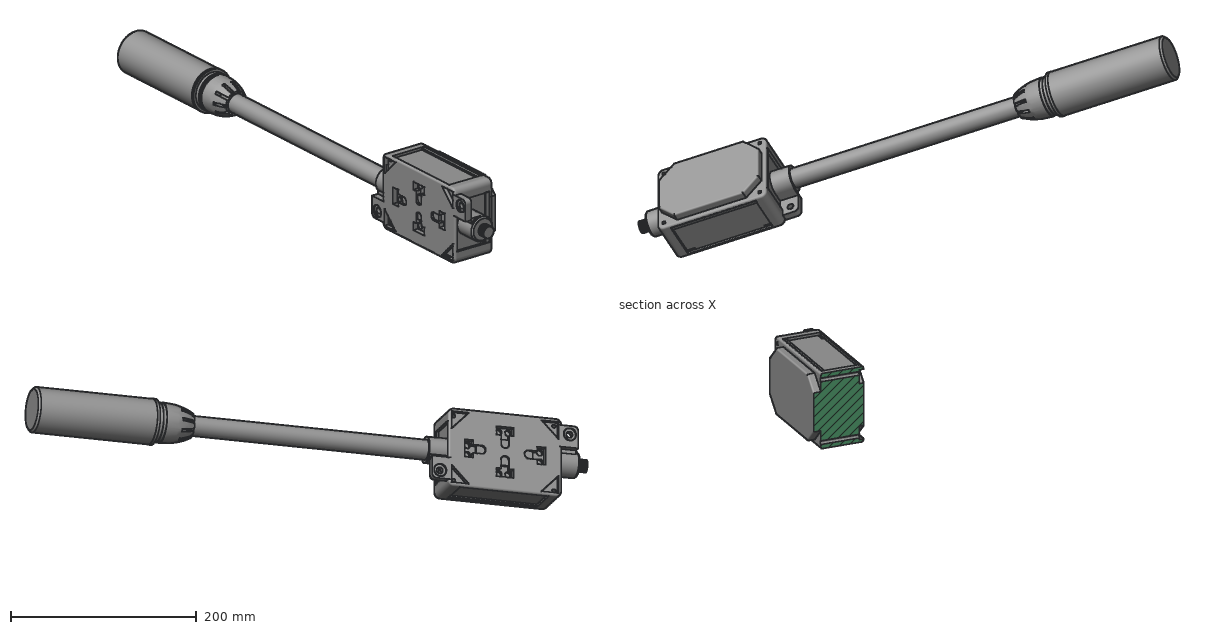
import cadquery as cq
import math

TOTAL_LENGTH = 628.0

HANDLE_DIAMETER = 49.5
HANDLE_LENGTH = 137.5
HANDLE_EDGE = 2.5
FLANGE_WIDTH = 3.0
FLANGE_RADIUS = 25.0

NOSE_RADIUS = 22.0
NOSE_STRAIGHT_END = 148.0
NOSE_END = 180.0
NOSE_END_RADIUS = 14.0
NOSE_GROOVE_START = 142.5
NOSE_GROOVE_WIDTH = 4.0
NOSE_GROOVE_DEPTH = 0.95
SLIT_COUNT = 10
SLIT_START = 165.0
SLIT_WIDTH = 3.0
SLIT_FLOOR_RADIUS = 12.0

CABLE_DIAMETER = 22.0
COLLAR_RADIUS = 14.5
COLLAR_START = 446.5

BOX_CENTER = 530.0
BOX_LENGTH = 129.0
BOX_HEIGHT = 88.0
BOX_FRONT = -20.0
BOX_BACK = 31.0
BOX_CORNER_RADIUS = 7.0
BOX_EDGE_RADIUS = 2.5

RECESS_FRONT = -17.0
RECESS_STEP = 22.5
RECESS_BACK = 27.0
RECESS_SHALLOW = 1.0
RECESS_DEEP = 3.0
LONG_RECESS_LENGTH = 100.5
SHORT_RECESS_LENGTH = 59.0

LID_LENGTH = 118.0
LID_HEIGHT = 77.0
LID_BACK = 39.5
LID_CORNER = 18.0
LID_EDGE_RADIUS = 2.0

POCKET_WALL = 4.0
POCKET_LEG = 19.5
POCKET_DEPTH = 5.0
SCREW_INSET = 7.5
SCREW_DIAMETER = 4.0

KEY_HEAD_LENGTH = 9.5
KEY_HEAD_WIDTH = 19.5
KEY_NECK_LENGTH = 4.5
KEY_SLOT_WIDTH = 9.5
KEY_LENGTH = 24.0
KEY_DEEP = 6.0
KEY_HOLE_DIAMETER = 7.0
KEY_HOLE_SPACING = 10.5
KEY_HOLE_DEPTH = 10.0
KEY_SHALLOW = 2.5
KEY_REACH_X = 46.0
KEY_REACH_Z = 28.0

EAR_REACH = 83.0
EAR_INNER_Z = 12.5
EAR_OUTER_Z = 37.0
EAR_THICKNESS = 8.0
EAR_CORNER_RADIUS = 5.0
EAR_HOLE = (73.5, 27.5)
EAR_HOLE_DIAMETER = 7.0
EAR_BORE_DIAMETER = 14.0
EAR_BORE_DEPTH = 2.0
SADDLE_FRONT = -12.0
SADDLE_HEIGHT = 6.0

CONNECTOR_RADIUS = 14.5
CONNECTOR_END = 617.5
CONNECTOR_CHAMFER = 2.0
PLUG_RADIUS = 7.0
PLUG_CORE_RADIUS = 5.5
THREAD_PITCH = 2.5

BOX_START = BOX_CENTER - BOX_LENGTH / 2
BOX_END = BOX_CENTER + BOX_LENGTH / 2


def rod(x_start, x_end, radius):
    """Cylinder on the cable axis."""
    return cq.Workplane("YZ", origin=(x_start, 0, 0)).circle(radius).extrude(x_end - x_start)


def ring(x_start, width, outer_radius, inner_radius):
    """Tube on the cable axis."""
    return rod(x_start, x_start + width, outer_radius).cut(rod(x_start, x_start + width, inner_radius))


def slab(x_range, y_range, z_range):
    """Block spanning the given ranges."""
    ranges = (x_range, y_range, z_range)
    sizes = [high - low for low, high in ranges]
    lows = [low for low, high in ranges]
    return cq.Workplane("XY", origin=tuple(lows)).box(*sizes, centered=False)


def plate_plane(y):
    """Workplane at depth y on the box centre: local x is X, local y is Z, extruding toward -Y."""
    return cq.Workplane("XZ", origin=(BOX_CENTER, y, 0))


def make_handle():
    grip = rod(0, HANDLE_LENGTH, HANDLE_DIAMETER / 2).faces("<X").edges().chamfer(HANDLE_EDGE)
    flange = rod(HANDLE_LENGTH - FLANGE_WIDTH, HANDLE_LENGTH, FLANGE_RADIUS)
    return grip.union(flange)


def make_nose():
    nose = (
        cq.Workplane("XY")
        .moveTo(HANDLE_LENGTH, 0)
        .lineTo(HANDLE_LENGTH, NOSE_RADIUS)
        .lineTo(NOSE_STRAIGHT_END, NOSE_RADIUS)
        .tangentArcPoint((NOSE_END, NOSE_END_RADIUS), relative=False)
        .lineTo(NOSE_END, 0)
        .close()
        .revolve(360, (0, 0, 0), (1, 0, 0))
    )
    groove_floor = NOSE_RADIUS - NOSE_GROOVE_DEPTH
    nose = nose.cut(ring(NOSE_GROOVE_START, NOSE_GROOVE_WIDTH, NOSE_RADIUS, groove_floor))
    slit = slab((SLIT_START, NOSE_END), (-NOSE_RADIUS, -SLIT_FLOOR_RADIUS), (-SLIT_WIDTH / 2, SLIT_WIDTH / 2))
    for i in range(SLIT_COUNT):
        nose = nose.cut(slit.rotate((0, 0, 0), (1, 0, 0), i * 360 / SLIT_COUNT))
    return nose


def side_recess(length, reach):
    """Cutter for a stepped recess in a side facing +Z at the given distance from the box centre."""
    x_range = (-length / 2, length / 2)
    shallow = slab(x_range, (RECESS_FRONT, RECESS_BACK), (reach - RECESS_SHALLOW, reach))
    deep = slab(x_range, (RECESS_FRONT, RECESS_STEP), (reach - RECESS_DEEP, reach))
    return shallow.union(deep)


def make_box():
    box = plate_plane(BOX_BACK).rect(BOX_LENGTH, BOX_HEIGHT).extrude(BOX_BACK - BOX_FRONT)
    box = box.edges("|Y").fillet(BOX_CORNER_RADIUS)
    box = box.faces("<Y or >Y").edges().fillet(BOX_EDGE_RADIUS)
    long_recess = side_recess(LONG_RECESS_LENGTH, BOX_HEIGHT / 2)
    short_recess = side_recess(SHORT_RECESS_LENGTH, BOX_LENGTH / 2)
    for recess, angle in ((long_recess, 0), (short_recess, 90), (long_recess, 180), (short_recess, 270)):
        box = box.cut(recess.rotate((0, 0, 0), (0, 1, 0), angle).translate((BOX_CENTER, 0, 0)))
    return box


def make_lid():
    lid = plate_plane(LID_BACK).rect(LID_LENGTH, LID_HEIGHT).extrude(LID_BACK - BOX_BACK)
    return lid.edges("|Y").chamfer(LID_CORNER).faces(">Y").edges().fillet(LID_EDGE_RADIUS)


def cut_corners(box):
    """Sink a triangular pocket and drill a screw hole in each front corner."""
    for side_x in (-1, 1):
        for side_z in (-1, 1):
            x = side_x * (BOX_LENGTH / 2 - POCKET_WALL)
            z = side_z * (BOX_HEIGHT / 2 - POCKET_WALL)
            corners = [(x, z), (x - side_x * POCKET_LEG, z), (x, z - side_z * POCKET_LEG)]
            pocket = plate_plane(BOX_FRONT + POCKET_DEPTH).polyline(corners).close().extrude(POCKET_DEPTH)
            hole = (
                plate_plane(BOX_BACK)
                .center(side_x * (BOX_LENGTH / 2 - SCREW_INSET), side_z * (BOX_HEIGHT / 2 - SCREW_INSET))
                .circle(SCREW_DIAMETER / 2)
                .extrude(BOX_BACK - BOX_FRONT)
            )
            box = box.cut(pocket).cut(hole)
    return box


def keyhole(reach):
    """Cutter for a keyhole whose wide head is toward +X and whose slot points to the box centre."""
    deep = plate_plane(BOX_FRONT + KEY_DEEP)
    head = deep.center(reach - KEY_HEAD_LENGTH / 2, 0).rect(KEY_HEAD_LENGTH, KEY_HEAD_WIDTH).extrude(KEY_DEEP)
    neck_length = KEY_HEAD_LENGTH + KEY_NECK_LENGTH
    neck = deep.center(reach - neck_length / 2, 0).rect(neck_length, KEY_SLOT_WIDTH).extrude(KEY_DEEP)
    slot = (
        plate_plane(BOX_FRONT + KEY_SHALLOW)
        .center(reach - KEY_LENGTH / 2, 0)
        .slot2D(KEY_LENGTH, KEY_SLOT_WIDTH)
        .extrude(KEY_SHALLOW)
    )
    holes = (
        plate_plane(BOX_FRONT + KEY_HOLE_DEPTH)
        .center(reach - KEY_HEAD_LENGTH / 2, 0)
        .pushPoints([(0, -KEY_HOLE_SPACING / 2), (0, KEY_HOLE_SPACING / 2)])
        .circle(KEY_HOLE_DIAMETER / 2)
        .extrude(KEY_HOLE_DEPTH)
    )
    return head.union(neck).union(slot).union(holes)


def cut_keyholes(box):
    axis_start = (BOX_CENTER, 0, 0)
    axis_end = (BOX_CENTER, 1, 0)
    for i in range(4):
        reach = KEY_REACH_Z if i % 2 else KEY_REACH_X
        box = box.cut(keyhole(reach).rotate(axis_start, axis_end, i * 90))
    return box


def make_ear():
    """Ear at the +X, +Z corner of the box, with a saddle squaring off the connector beside it."""
    hole_x, hole_z = EAR_HOLE
    back = plate_plane(BOX_FRONT + EAR_THICKNESS)
    ear_root = BOX_LENGTH / 2 - BOX_CORNER_RADIUS
    ear = (
        back.center((EAR_REACH + ear_root) / 2, (EAR_OUTER_Z + EAR_INNER_Z) / 2)
        .rect(EAR_REACH - ear_root, EAR_OUTER_Z - EAR_INNER_Z)
        .extrude(EAR_THICKNESS)
        .edges("|Y and >X and >Z")
        .fillet(EAR_CORNER_RADIUS)
    )
    hole = back.center(hole_x, hole_z).circle(EAR_HOLE_DIAMETER / 2).extrude(EAR_THICKNESS)
    bore = (
        plate_plane(BOX_FRONT + EAR_BORE_DEPTH)
        .center(hole_x, hole_z)
        .circle(EAR_BORE_DIAMETER / 2)
        .extrude(EAR_BORE_DEPTH)
    )
    saddle = slab(
        (BOX_CENTER + ear_root, BOX_CENTER + EAR_REACH),
        (SADDLE_FRONT, 0),
        (CONNECTOR_RADIUS - SADDLE_HEIGHT, CONNECTOR_RADIUS),
    )
    return ear.cut(hole).cut(bore).union(saddle)


def make_connector():
    body = rod(BOX_END - RECESS_DEEP, CONNECTOR_END, CONNECTOR_RADIUS)
    body = body.faces(">X").edges().chamfer(CONNECTOR_CHAMFER)
    plug = rod(CONNECTOR_END, TOTAL_LENGTH, PLUG_RADIUS)
    groove_width = THREAD_PITCH / 2
    groove_count = math.floor((TOTAL_LENGTH - CONNECTOR_END) / THREAD_PITCH)
    for i in range(groove_count):
        plug = plug.cut(ring(CONNECTOR_END + i * THREAD_PITCH, groove_width, PLUG_RADIUS, PLUG_CORE_RADIUS))
    return body.union(plug)


box = make_box()
ear = make_ear()
opposite_ear = ear.rotate((BOX_CENTER, 0, 0), (BOX_CENTER, 1, 0), 180)
box = cut_keyholes(cut_corners(box.union(ear).union(opposite_ear)))

result = (
    make_handle()
    .union(make_nose())
    .union(rod(NOSE_END, COLLAR_START, CABLE_DIAMETER / 2))
    .union(rod(COLLAR_START, BOX_START + RECESS_DEEP, COLLAR_RADIUS))
    .union(box)
    .union(make_lid())
    .union(make_connector())
)